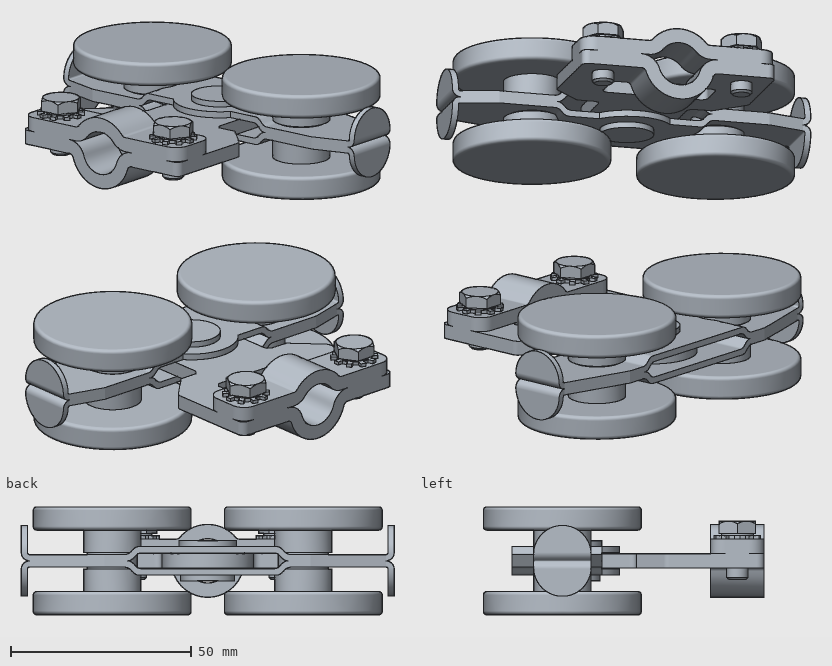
import cadquery as cq
import math


wheel_diameter = 43.9
wheel_outer_z = 15.0
wheel_width = 6.5
wheel_rounding = 1.0
wheel_x = 26.5
hub_diameter = 16.0
hub_shoulder_diameter = 13.9
hub_gap = 0.5

arm_end_x = 51.8
sheet = 1.8
flap_bend_inner = 0.5
flap_bend_outer = flap_bend_inner + sheet
flap_radius = 8.0
flap_top_z = 9.8
arm_rear_y = 14.0
arm_front_y = -11.0
flare_angle = 16.0
joggle_x = 19.2
joggle_angle = 45.0
joggle_rounding = 2.3
pivot_clearance = 0.2

pivot_y = -3.0
lobe_radius = 13.0
rivet_top_diameter = 16.0
rivet_bottom_diameter = 15.0
rivet_end_z = 5.6

plate = 4.0
plate_top = plate / 2
plate_half_width = 27.8
front_y = -56.0
plate_rounding = 2.0
neck_half_width = 12.7
notch_y = -20.6
notch_half_width = 19.5
shoulder_y = notch_y - (plate_half_width - notch_half_width)
window_half_width = 15.1
window_rear_y = -30.1

clamp_rear_y = -41.1
clamp_corner = 4.0
bore_radius = 6.1
crest_radius = bore_radius + plate
bend_inner = 5.4
bend_outer = bend_inner - plate

bolt_x = 20.0
bolt_y = -48.6
head_corners = 11.7
head_height = 3.4
head_chamfer_height = 0.7
collar_diameter = 8.9
collar_height = 0.6
washer_height = 0.9
washer_diameter = 9.9
tooth_count = 10
tooth_tip_radius = 6.5
tooth_width = 1.6
thread_diameter = 6.0
thread_end_z = -5.2
thread_chamfer = 0.6


def disc(x, y, diameter, z_low, z_high):
    """Upright cylinder between two heights."""
    return cq.Workplane("XY", origin=(x, y, z_low)).circle(diameter / 2).extrude(z_high - z_low)


def block(x_low, x_high, y_low, y_high, z_low, z_high):
    """Box given by its limits along each axis."""
    size = (x_high - x_low, y_high - y_low, z_high - z_low)
    return cq.Workplane("XY").box(*size, centered=False).translate((x_low, y_low, z_low))


def mirrored_union(body, plane):
    return body.union(body.mirror(plane))


def make_wheel():
    """Upper wheel on the +X side with its stepped hub."""
    wheel_inner_z = wheel_outer_z - wheel_width
    wheel = disc(wheel_x, 0, wheel_diameter, wheel_inner_z, wheel_outer_z).edges().fillet(wheel_rounding)
    hub = disc(wheel_x, 0, hub_diameter, sheet + hub_gap, wheel_inner_z)
    shoulder = disc(wheel_x, 0, hub_shoulder_diameter, 0, sheet + hub_gap)
    return wheel.union(hub).union(shoulder)


def make_arm_sheet():
    """Upper sheet on the +X side: flat arm, joggle up and flat part over the pivot."""
    bend_x = arm_end_x - flap_bend_outer
    raised_z = plate_top + pivot_clearance
    joggle_run = raised_z / math.tan(math.radians(joggle_angle))
    offset_x = sheet * math.tan(math.radians(joggle_angle / 2))
    ribbon = (
        cq.Workplane("XZ", origin=(0, arm_rear_y, 0))
        .moveTo(0, raised_z)
        .lineTo(joggle_x, raised_z)
        .lineTo(joggle_x + joggle_run, 0)
        .lineTo(bend_x, 0)
        .lineTo(bend_x, sheet)
        .lineTo(joggle_x + joggle_run + offset_x, sheet)
        .lineTo(joggle_x + offset_x, raised_z + sheet)
        .lineTo(0, raised_z + sheet)
        .close()
        .extrude(arm_rear_y - arm_front_y)
    )
    bends = cq.selectors.BoxSelector(
        (joggle_x - sheet, arm_front_y, -sheet),
        (joggle_x + joggle_run + sheet, arm_rear_y, raised_z + 2 * sheet),
    )
    ribbon = ribbon.edges("|Y").edges(bends).fillet(joggle_rounding)

    flare = math.tan(math.radians(flare_angle))
    outline = (
        cq.Workplane("XY")
        .moveTo(0, arm_front_y)
        .lineTo(bend_x - (-arm_front_y - flap_radius) / flare, arm_front_y)
        .lineTo(bend_x, -flap_radius)
        .lineTo(bend_x, flap_radius)
        .lineTo(bend_x - (arm_rear_y - flap_radius) / flare, arm_rear_y)
        .lineTo(0, arm_rear_y)
        .close()
        .extrude(raised_z + sheet)
    )
    lobe = disc(0, pivot_y, 2 * lobe_radius, raised_z, raised_z + sheet)
    return ribbon.intersect(outline).union(lobe)


def make_end_flap():
    """Round flap bent upward from the +X end of the upper sheet."""
    bend_x = arm_end_x - flap_bend_outer
    inner_x = arm_end_x - sheet
    slant = math.sqrt(0.5)
    flap = (
        cq.Workplane("XZ", origin=(0, flap_radius, 0))
        .moveTo(bend_x, 0)
        .threePointArc(
            (bend_x + flap_bend_outer * slant, flap_bend_outer * (1 - slant)),
            (arm_end_x, flap_bend_outer),
        )
        .lineTo(arm_end_x, flap_top_z)
        .lineTo(inner_x, flap_top_z)
        .lineTo(inner_x, flap_bend_outer)
        .threePointArc(
            (bend_x + flap_bend_inner * slant, flap_bend_outer - flap_bend_inner * slant),
            (bend_x, sheet),
        )
        .close()
        .extrude(2 * flap_radius)
    )
    centre_z = flap_top_z - flap_radius
    round_outline = cq.Workplane("YZ").center(0, centre_z).circle(flap_radius).extrude(arm_end_x)
    foot = block(0, arm_end_x, -flap_radius, flap_radius, 0, centre_z)
    return flap.intersect(round_outline.union(foot))


def make_rivet():
    upper = disc(0, pivot_y, rivet_top_diameter, 0, rivet_end_z)
    return upper.union(disc(0, pivot_y, rivet_bottom_diameter, -rivet_end_z, 0))


def make_hump(direction):
    """Bent part of a clamp half around the bore; direction is +1 for a crest up, -1 for a crest down.

    Heights are measured towards the crest, from the bore axis. Returns the part and the distance from
    the bore axis at which the clamp half becomes flat.
    """
    face = plate_top * direction
    centre_x = math.sqrt((bore_radius + bend_inner) ** 2 - (face + bend_inner) ** 2)
    centre_h = face + bend_inner
    reach = math.hypot(centre_x, centre_h)
    tilt = math.atan2(centre_h, centre_x)
    mid_tilt = -(math.pi / 2 - tilt) / 2 - math.pi / 2

    def on_bore_circle(radius):
        return centre_x * radius / reach, centre_h * radius / reach

    def on_bend(radius):
        return centre_x + radius * math.cos(mid_tilt), centre_h + radius * math.sin(mid_tilt)

    def place(point, side=1):
        return side * point[0], direction * point[1]

    inner_end = on_bore_circle(bore_radius)
    outer_end = on_bore_circle(crest_radius)
    inner_flat = (centre_x, face)
    outer_flat = (centre_x, face + plate)
    profile = (
        cq.Workplane("XZ", origin=(0, clamp_rear_y, 0))
        .moveTo(*place(inner_flat))
        .threePointArc(place(on_bend(bend_inner)), place(inner_end))
        .threePointArc(place((0, bore_radius)), place(inner_end, -1))
        .threePointArc(place(on_bend(bend_inner), -1), place(inner_flat, -1))
        .lineTo(*place(outer_flat, -1))
        .threePointArc(place(on_bend(bend_outer), -1), place(outer_end, -1))
        .threePointArc(place((0, crest_radius)), place(outer_end))
        .threePointArc(place(on_bend(bend_outer)), place(outer_flat))
        .close()
    )
    return profile.extrude(clamp_rear_y - front_y), centre_x


def make_hanger():
    """Flat hanger plate with neck, window and the lower half of the rod clamp."""
    half = (
        cq.Workplane("XY", origin=(0, 0, -plate_top))
        .moveTo(0, pivot_y)
        .lineTo(neck_half_width, pivot_y)
        .lineTo(neck_half_width, notch_y)
        .lineTo(notch_half_width, notch_y)
        .lineTo(plate_half_width, shoulder_y)
        .lineTo(plate_half_width, front_y)
        .lineTo(0, front_y)
        .close()
        .extrude(plate)
    )

    def upright_edge(x, y):
        reach = plate_rounding / 2
        return cq.selectors.BoxSelector((x - reach, y - reach, -plate), (x + reach, y + reach, plate))

    rounded_corners = (
        (neck_half_width, notch_y),
        (plate_half_width, shoulder_y),
        (plate_half_width, front_y),
    )
    for x, y in rounded_corners:
        half = half.edges("|Z").edges(upright_edge(x, y)).fillet(plate_rounding)
    body = mirrored_union(half, "YZ")
    body = body.union(disc(0, pivot_y, 2 * neck_half_width, -plate_top, plate_top))

    window = block(-window_half_width, window_half_width, clamp_rear_y, window_rear_y, -plate_top, plate_top)
    body = body.cut(window.edges("|Z").fillet(plate_rounding))

    hump, flat_x = make_hump(-1)
    body = body.cut(block(-flat_x, flat_x, front_y, clamp_rear_y, -plate_top, plate_top))
    return body.union(hump)


def make_clamp_cap():
    """Upper half of the rod clamp."""
    cap = block(
        -plate_half_width, plate_half_width, front_y, clamp_rear_y, plate_top, plate_top + plate
    )
    cap = cap.edges("|Z").fillet(clamp_corner)
    hump, flat_x = make_hump(1)
    cap = cap.cut(block(-flat_x, flat_x, front_y, clamp_rear_y, plate_top, plate_top + plate))
    return cap.union(hump)


def make_bolt():
    """Hexagon bolt on the +X side with its toothed lock washer."""
    seat_z = plate_top + plate
    washer_top = seat_z + washer_height
    head_z = washer_top + collar_height
    head_top = head_z + head_height

    washer = disc(bolt_x, bolt_y, washer_diameter, seat_z, washer_top)
    tooth = block(0, tooth_tip_radius, -tooth_width / 2, tooth_width / 2, seat_z, washer_top)
    for index in range(tooth_count):
        turned = tooth.rotate((0, 0, 0), (0, 0, 1), index * 360 / tooth_count)
        washer = washer.union(turned.translate((bolt_x, bolt_y, 0)))

    head = (
        cq.Workplane("XY", origin=(bolt_x, bolt_y, head_z))
        .polygon(6, head_corners)
        .extrude(head_height)
    )
    head_flats = head_corners * math.cos(math.pi / 6)
    crown = (
        disc(bolt_x, bolt_y, head_corners, head_z, head_top)
        .faces(">Z")
        .chamfer(head_chamfer_height, (head_corners - head_flats) / 2)
    )
    collar = disc(bolt_x, bolt_y, collar_diameter, seat_z, head_z)
    thread = disc(bolt_x, bolt_y, thread_diameter, thread_end_z, seat_z)
    thread = thread.faces("<Z").chamfer(thread_chamfer)
    return washer.union(head.intersect(crown)).union(collar).union(thread)


upper_side = make_arm_sheet().union(make_end_flap()).union(make_wheel())
carrier = mirrored_union(mirrored_union(upper_side, "YZ"), "XY")
bolts = mirrored_union(make_bolt(), "YZ")

result = carrier.union(make_rivet()).union(make_hanger()).union(make_clamp_cap()).union(bolts)